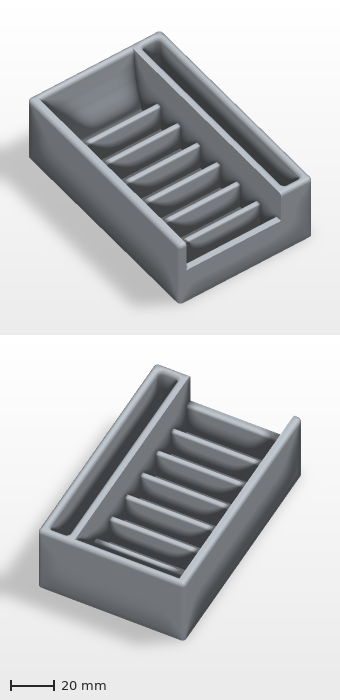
import cadquery as cq
import math

LENGTH = 119.0
DEPTH = 76.0
HEIGHT = 38.0

WALL = 4.0
OUTER_RADIUS = WALL / 2
FLOOR = 3.2
WALL_HEIGHT = HEIGHT - FLOOR

CAVITY_DEPTH = 10.0
CAVITY_RADIUS = 2.0
RIM_RADIUS = WALL / 2
COMPARTMENT_DEPTH = CAVITY_DEPTH + 2 * WALL

BAY_FRONT = WALL
BAY_BACK = DEPTH - COMPARTMENT_DEPTH
BAY_DEPTH = BAY_BACK - BAY_FRONT

RIGHT_WALL_X = LENGTH - WALL
RIGHT_WALL_TOP = 20.5
RIGHT_WALL_RADIUS = 1.2

DIVIDER_COUNT = 6
DIVIDER_THICKNESS = 3.0
DIVIDER_TOP = 18.0
DIVIDER_RADIUS = 1.0
FIRST_DIVIDER_X = 22.0
DIVIDER_PITCH = (RIGHT_WALL_X - FIRST_DIVIDER_X) / DIVIDER_COUNT

BACKREST_SPREAD = 6.0
BACKREST_FOOT_RADIUS = 1.8
BACKREST_DROP = HEIGHT - OUTER_RADIUS - FLOOR


def block(x, y, z, length, depth, height):
    """Box given by its minimum corner and its size."""
    return cq.Workplane("XY").box(length, depth, height, centered=False).translate((x, y, z))


def make_envelope():
    """Outer shape shared by both bodies, with rounded upright and top edges."""
    return block(0, 0, 0, LENGTH, DEPTH, HEIGHT).edges("|Z or >Z").fillet(OUTER_RADIUS)


def make_backrest():
    """Left wall with a rounded top and a concave inner face that is vertical at its upper end."""
    shoulder_z = HEIGHT - OUTER_RADIUS
    arc_angle = 2 * math.atan2(BACKREST_SPREAD, BACKREST_DROP)
    arc_radius = BACKREST_DROP / math.sin(arc_angle)
    arc_middle = (
        WALL + arc_radius * (1 - math.cos(arc_angle / 2)),
        shoulder_z - arc_radius * math.sin(arc_angle / 2),
    )
    foot_middle = (WALL + BACKREST_SPREAD, BAY_FRONT + BAY_DEPTH / 2, FLOOR)
    crown_offset = OUTER_RADIUS * math.sqrt(0.5)
    crown_middle = (OUTER_RADIUS + crown_offset, shoulder_z + crown_offset)
    return (
        cq.Workplane("XZ", origin=(0, BAY_BACK, 0))
        .moveTo(0, 0)
        .lineTo(0, HEIGHT)
        .lineTo(OUTER_RADIUS, HEIGHT)
        .threePointArc(crown_middle, (WALL, shoulder_z))
        .threePointArc(arc_middle, (WALL + BACKREST_SPREAD, FLOOR))
        .lineTo(FIRST_DIVIDER_X, FLOOR)
        .lineTo(FIRST_DIVIDER_X, 0)
        .close()
        .extrude(BAY_DEPTH)
        .edges(cq.selectors.NearestToPointSelector(foot_middle))
        .fillet(BACKREST_FOOT_RADIUS)
    )


def make_base(envelope):
    """Floor plate with the curved backrest standing at its left end."""
    floor = block(0, 0, 0, LENGTH, DEPTH, FLOOR)
    return floor.union(make_backrest()).intersect(envelope).clean()


def make_compartment(envelope):
    """Rear compartment with a rounded rim, open at the top and closed below by the base."""
    walls = block(0, BAY_BACK, FLOOR, LENGTH, COMPARTMENT_DEPTH, WALL_HEIGHT)
    cavity = block(WALL, BAY_BACK + WALL, FLOOR, LENGTH - 2 * WALL, CAVITY_DEPTH, WALL_HEIGHT)
    compartment = walls.cut(cavity.edges("|Z").fillet(CAVITY_RADIUS))
    rim = compartment.faces(">Z").edges(
        cq.selectors.BoxSelector(
            (WALL / 2, BAY_BACK + WALL / 2, HEIGHT - WALL),
            (LENGTH - WALL / 2, DEPTH - WALL / 2, HEIGHT + WALL),
            boundingbox=True,
        )
    )
    return rim.fillet(RIM_RADIUS).intersect(envelope)


def make_divider(index):
    """Upright divider with both top edges rounded."""
    x = FIRST_DIVIDER_X + index * DIVIDER_PITCH
    divider = block(x, BAY_FRONT, FLOOR, DIVIDER_THICKNESS, BAY_DEPTH, DIVIDER_TOP - FLOOR)
    return divider.edges(">Z and |Y").fillet(DIVIDER_RADIUS)


def make_right_wall():
    """Low right-hand wall, rounded only along its inner top edge."""
    wall = block(RIGHT_WALL_X, BAY_FRONT, FLOOR, WALL, BAY_DEPTH, RIGHT_WALL_TOP - FLOOR)
    return wall.edges(">Z and <X").fillet(RIGHT_WALL_RADIUS)


def make_frame(envelope):
    """Front wall and rear compartment joined by the dividers and the right-hand wall."""
    front_wall = block(0, 0, FLOOR, LENGTH, WALL, WALL_HEIGHT).intersect(envelope)
    frame = make_compartment(envelope).union(front_wall).union(make_right_wall())
    for index in range(DIVIDER_COUNT):
        frame = frame.union(make_divider(index))
    return frame


envelope = make_envelope()
base = make_base(envelope)
frame = make_frame(envelope)

result = cq.Compound.makeCompound([base.val(), frame.val()])